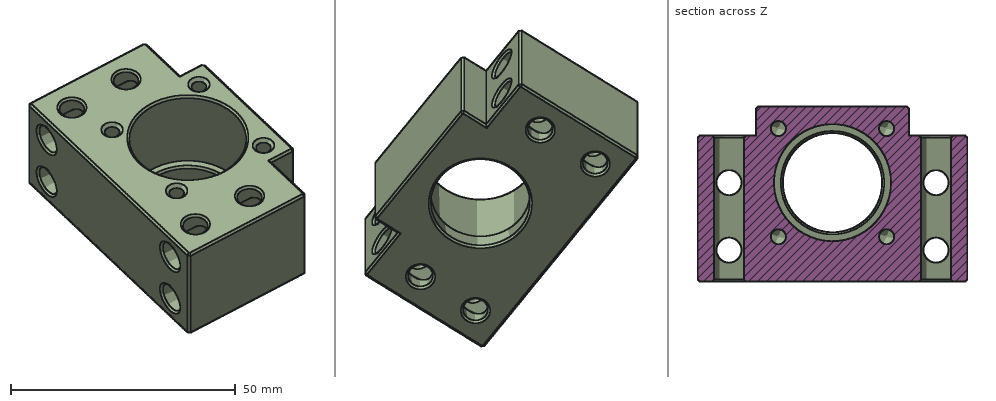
import cadquery as cq
import math

WIDTH = 60.0
HEIGHT = 39.0
DEPTH = 25.0
STEP_WIDTH = 34.0
SHOULDER_HEIGHT = 32.5
EDGE_CHAMFER = 0.5

BORE_CENTER_Y = 22.0
SEAT_DIAMETER = 26.0
OPENING_DIAMETER = 22.0
LIP_THICKNESS = 5.0

MOUNT_SPACING = 46.0
CROSS_HOLE_DIAMETER = 6.6
CROSS_HOLE_LEVELS_Z = (6.0, 19.0)
AXIAL_HOLE_DIAMETER = 5.5
AXIAL_HOLE_PITCH = 15.0
AXIAL_HOLE_LEVELS_Y = (BORE_CENTER_Y - AXIAL_HOLE_PITCH, BORE_CENTER_Y)

COVER_CIRCLE_DIAMETER = 34.0
COVER_HOLE_DIAMETER = 3.3
COVER_COUNTERSINK_DIAMETER = 4.8
COVER_HOLE_DEPTH = 10.0
DRILL_POINT_ANGLE = 118.0


def make_block():
    """T-shaped block with every convex edge chamfered."""
    half_width = WIDTH / 2
    half_step = STEP_WIDTH / 2
    block = (
        cq.Workplane("XY")
        .polyline([
            (-half_width, 0),
            (half_width, 0),
            (half_width, SHOULDER_HEIGHT),
            (half_step, SHOULDER_HEIGHT),
            (half_step, HEIGHT),
            (-half_step, HEIGHT),
            (-half_step, SHOULDER_HEIGHT),
            (-half_width, SHOULDER_HEIGHT),
        ])
        .close()
        .extrude(DEPTH)
    )
    outer_corners = "|Z and (<X or >X or >Y)"
    block = block.edges(outer_corners).chamfer(EDGE_CHAMFER)
    return block.faces("<Z or >Z").edges().chamfer(EDGE_CHAMFER)


def chamfered_hole_cutter(diameter, length):
    """Cutter from Z = 0 to Z = length, flared by the edge chamfer at both mouths."""
    radius = diameter / 2
    mouth_radius = radius + EDGE_CHAMFER
    return (
        cq.Workplane("XZ")
        .polyline([
            (0, 0),
            (mouth_radius, 0),
            (radius, EDGE_CHAMFER),
            (radius, length - EDGE_CHAMFER),
            (mouth_radius, length),
            (0, length),
        ])
        .close()
        .revolve(360, (0, 0, 0), (0, 1, 0))
    )


def bore_cutter():
    """Rear opening and bearing seat, with chamfered mouths and lip edge."""
    opening = chamfered_hole_cutter(OPENING_DIAMETER, LIP_THICKNESS)
    seat_depth = DEPTH - LIP_THICKNESS
    seat = (
        cq.Workplane("XY")
        .workplane(offset=LIP_THICKNESS)
        .circle(SEAT_DIAMETER / 2)
        .extrude(seat_depth)
    )
    mouth_radius = SEAT_DIAMETER / 2 + EDGE_CHAMFER
    mouth = (
        cq.Workplane("XY")
        .workplane(offset=DEPTH)
        .circle(mouth_radius)
        .extrude(-EDGE_CHAMFER, taper=45)
    )
    return opening.union(seat).union(mouth).translate((0, BORE_CENTER_Y, 0))


def cover_hole_cutter():
    """Countersunk blind hole going down from Z = 0, with a drill-point bottom."""
    radius = COVER_HOLE_DIAMETER / 2
    sink_radius = COVER_COUNTERSINK_DIAMETER / 2
    sink_depth = sink_radius - radius
    point_depth = radius / math.tan(math.radians(DRILL_POINT_ANGLE / 2))
    return (
        cq.Workplane("XZ")
        .polyline([
            (0, 0),
            (sink_radius, 0),
            (radius, -sink_depth),
            (radius, -COVER_HOLE_DEPTH),
            (0, -COVER_HOLE_DEPTH - point_depth),
        ])
        .close()
        .revolve(360, (0, 0, 0), (0, 1, 0))
    )


result = make_block().cut(bore_cutter())

axial_hole = chamfered_hole_cutter(AXIAL_HOLE_DIAMETER, DEPTH)
cross_hole = chamfered_hole_cutter(CROSS_HOLE_DIAMETER, SHOULDER_HEIGHT).rotate(
    (0, 0, 0), (1, 0, 0), -90
)
cover_hole = cover_hole_cutter()
cover_offset = COVER_CIRCLE_DIAMETER / 2 * math.sin(math.radians(45))

for side in (-1, 1):
    mount_x = side * MOUNT_SPACING / 2
    for level_y in AXIAL_HOLE_LEVELS_Y:
        result = result.cut(axial_hole.translate((mount_x, level_y, 0)))
    for level_z in CROSS_HOLE_LEVELS_Z:
        result = result.cut(cross_hole.translate((mount_x, 0, level_z)))
    for direction in (-1, 1):
        cover_y = BORE_CENTER_Y + direction * cover_offset
        result = result.cut(cover_hole.translate((side * cover_offset, cover_y, DEPTH)))